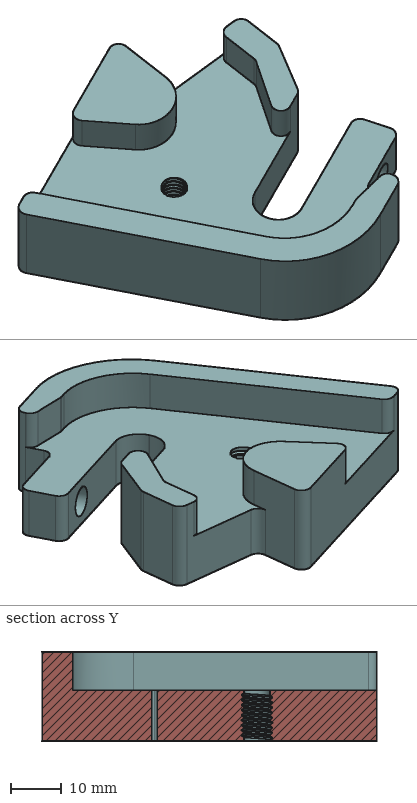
import cadquery as cq
import math

height = 17.5
floor_height = 10.0

length = 66.1
corner_radius = 2.0
slot_left = 38.6
slot_right = 48.6
slot_bottom = 24.2
slot_radius = 4.95
finger_right = 58.15
finger_end = 55.3
shoulder_y = 38.25
bend_radius = 20.2

lower_angle = math.radians(9.3)
lower_slope = math.tan(lower_angle)
lower_left_y = -0.3

arm_tilt = math.radians(22.5)
arm_side_direction = math.pi / 2 - arm_tilt
notch_start_y = 49.3
notch_depth = 13.0
arm_length = 21.8
arm_top_width = 10.5
arm_slot_corner_y = 50.8

island_bottom_y = 26.0
island_tip_radius = 7.35
island_lower_slope = math.tan(math.radians(18))

arm_wall_thickness = 6.0
arm_wall_bend = (27.55, 55.0)
arm_wall_tip_y = 40.8

wall_thickness = 5.95
wall_bend_radius = 14.7
flare_start_y = 29.5
flare_end_x = 62.4

thread_x = 23.5
thread_y = 24.2
thread_minor = 5.1
thread_major = 6.0
thread_pitch = 1.0
thread_groove_half_width = 0.4
thread_end_gap = 0.5
thread_end_angle = 150
thread_overlap = 0.05

screw_diameter = 6.0
screw_y = 46.65
screw_z = floor_height / 2


def along(start, distance, angle):
    """Point at a distance from start in the direction of angle."""
    return (start[0] + distance * math.cos(angle), start[1] + distance * math.sin(angle))


def rounded(*points):
    """Corners with the common corner radius."""
    return [(point, corner_radius) for point in points]


def rounded_prism(corners, depth):
    """Prism on z = 0 from (point, radius) corners, each corner rounded by a tangent arc."""
    points = [cq.Vector(*point) for point, _ in corners]
    following = points[1:] + points[:1]
    arcs = []
    for i, (_, radius) in enumerate(corners):
        corner = points[i]
        before = (points[i - 1] - corner).normalized()
        after = (following[i] - corner).normalized()
        half_angle = before.getAngle(after) / 2
        setback = radius / math.tan(half_angle)
        corner_to_arc = radius / math.sin(half_angle) - radius
        middle = corner + (before + after).normalized() * corner_to_arc
        arcs.append((corner + before * setback, middle, corner + after * setback))

    last_end = arcs[-1][2]
    outline = cq.Workplane("XY").moveTo(last_end.x, last_end.y)
    for start, middle, end in arcs:
        outline = outline.lineTo(start.x, start.y)
        outline = outline.threePointArc((middle.x, middle.y), (end.x, end.y))
    return outline.close().extrude(depth)


notch_start = (0, notch_start_y)
notch_corner = along(notch_start, notch_depth, -arm_tilt)
arm_corner = along(notch_corner, arm_length, arm_side_direction)
arm_bend = along(arm_corner, arm_top_width, -arm_tilt)
arm_slot_corner = (slot_left, arm_slot_corner_y)
lower_left = (0, lower_left_y)
lower_right = (length, lower_left_y + length * lower_slope)
shoulder_end = (length, shoulder_y)


def make_plate():
    """Plate with the notch, the slot and the finger in its outline."""
    corners = (
        rounded(lower_left)
        + [(lower_right, bend_radius)]
        + rounded(
            shoulder_end, (finger_right, shoulder_y),
            (finger_right, finger_end), (slot_right, finger_end),
        )
        + [((slot_right, slot_bottom), slot_radius), ((slot_left, slot_bottom), slot_radius)]
        + rounded(arm_slot_corner, arm_bend, arm_corner, notch_corner, notch_start)
    )
    return rounded_prism(corners, floor_height)


def make_island():
    """Full-height wedge on the left edge with a round tip."""
    base_length = notch_start_y - island_bottom_y
    tip_x = base_length / (math.tan(arm_tilt) + island_lower_slope)
    tip = (tip_x, island_bottom_y + tip_x * island_lower_slope)
    corners = rounded((0, island_bottom_y)) + [(tip, island_tip_radius)] + rounded(notch_start)
    return rounded_prism(corners, height)


def make_arm_wall():
    """Full-height bent wall along the end of the arm."""
    inner_corner = along(arm_corner, -arm_wall_thickness, arm_side_direction)
    corners = rounded(
        inner_corner, arm_wall_bend, (slot_left, arm_wall_tip_y),
        arm_slot_corner, arm_bend, arm_corner,
    )
    return rounded_prism(corners, height)


def make_outer_wall():
    """Full-height wall along the lower edge and around the bend."""
    inner_x = length - wall_thickness
    inner_left_y = lower_left_y + wall_thickness / math.cos(lower_angle)
    inner_bend = (inner_x, inner_left_y + inner_x * lower_slope)
    corners = (
        rounded(lower_left)
        + [(lower_right, bend_radius)]
        + rounded(shoulder_end, (flare_end_x, shoulder_y), (inner_x, flare_start_y))
        + [(inner_bend, wall_bend_radius)]
        + rounded((0, inner_left_y))
    )
    return rounded_prism(corners, height)


def make_screw_hole():
    """Cylinder across the finger, from the slot to the finger's outer side."""
    return (
        cq.Workplane("YZ", origin=(slot_right, screw_y, screw_z))
        .circle(screw_diameter / 2)
        .extrude(finger_right - slot_right)
    )


def make_thread_bore():
    """Cylinder of the thread's minor diameter through the floor."""
    return (
        cq.Workplane("XY", origin=(thread_x, thread_y, 0))
        .circle(thread_minor / 2)
        .extrude(floor_height)
    )


def make_thread_groove():
    """Helical V groove that ends just short of both faces of the floor."""
    groove_height = floor_height - 2 * thread_end_gap
    helix = cq.Wire.makeHelix(thread_pitch, groove_height, thread_minor / 2)
    mouth = thread_minor / 2 - thread_overlap
    helix_angle = 360 * groove_height / thread_pitch
    return (
        cq.Workplane("XZ")
        .polyline([
            (mouth, -thread_groove_half_width),
            (thread_major / 2, 0),
            (mouth, thread_groove_half_width),
        ])
        .close()
        .sweep(cq.Workplane(helix), isFrenet=True)
        .rotate((0, 0, 0), (0, 0, 1), thread_end_angle - helix_angle)
        .translate((thread_x, thread_y, thread_end_gap))
    )


result = make_plate()
for raised_part in (make_island(), make_arm_wall(), make_outer_wall()):
    result = result.union(raised_part)
for opening in (make_screw_hole(), make_thread_bore(), make_thread_groove()):
    result = result.cut(opening)